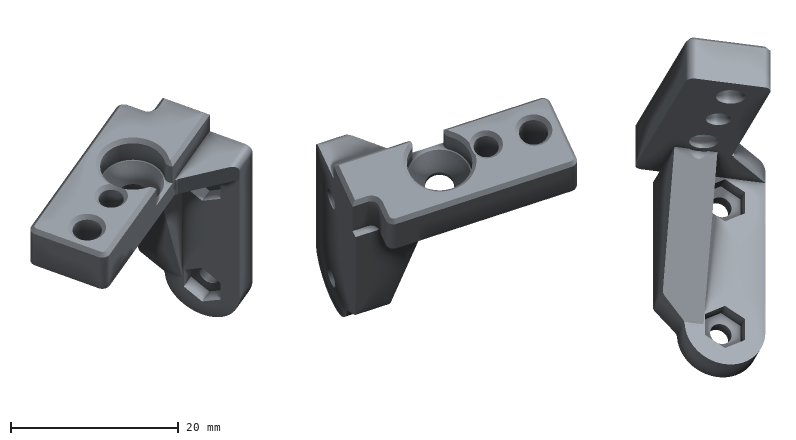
import cadquery as cq
import math

TOTAL_X = 16.2
TOTAL_Y = 27.4
TOTAL_Z = 30.75
OVERCUT = 0.3

BLOCK_WIDTH = 10.5
BLOCK_HEIGHT = 5.75
BLOCK_BOTTOM = TOTAL_Z - BLOCK_HEIGHT
NOTCH_X = 4.18
NOTCH_Y = 2.98
ROUND = 1.0
TOP_CHAMFER = 0.5

HOLE_X = 6.25
LARGE_HOLE_RADIUS = 1.75
SCREW_Y = -11.93
FRONT_HOLE_Y = -23.95
SMALL_HOLE_X = 6.4
SMALL_HOLE_Y = -17.95
SMALL_HOLE_RADIUS = 1.5

RECESS_RADIUS = 3.9
RECESS_FLOOR = BLOCK_BOTTOM + 2.5
SINK_RADIUS = 3.72
LIP_OFFSET_X = 3.85
CLEARANCE_RADIUS = 2.568

PLATE_THICKNESS = 3.47
PLATE_RADIUS = 4.997
PLATE_X = TOTAL_X - PLATE_RADIUS
PLATE_LEFT = PLATE_X - PLATE_RADIUS
PLATE_TOP = RECESS_FLOOR
BOLT_SPACING = 17.0
BOLT_RADIUS = 1.32
NUT_ACROSS_CORNERS = 5.65
NUT_DEPTH = 1.9

WEB_TIP_X = BLOCK_WIDTH + 0.25

RIB_LEFT = 3.23
RIB_RIGHT = 8.55
RIB_DEPTH = 9.7


def upright_cylinder(x, y, radius, bottom, top):
    return cq.Workplane("XY", origin=(x, y, bottom)).circle(radius).extrude(top - bottom)


def countersink(x, y, small_radius, large_radius, top):
    """45 degree cone that narrows downwards from the given level."""
    depth = large_radius - small_radius
    cone = cq.Solid.makeCone(small_radius, large_radius, depth, cq.Vector(x, y, top - depth))
    return cq.Workplane(cone)


def round_edge(body, middle):
    """Round the edge whose middle is nearest to the given point."""
    return body.edges(cq.NearestToPointSelector(middle)).fillet(ROUND)


def make_recess():
    """Round recess whose wall runs tangentially into the two rounded lips of its side opening."""
    center_distance = RECESS_RADIUS + ROUND
    lip_offset_y = math.sqrt(center_distance**2 - LIP_OFFSET_X**2)
    tangent_x = LIP_OFFSET_X * RECESS_RADIUS / center_distance
    tangent_y = lip_offset_y * RECESS_RADIUS / center_distance
    mouth_x = BLOCK_WIDTH - HOLE_X
    mouth_y = lip_offset_y - math.sqrt(ROUND**2 - (mouth_x - LIP_OFFSET_X) ** 2)
    lip_y = lip_offset_y - ROUND
    return (
        cq.Workplane("XY", origin=(HOLE_X, SCREW_Y, RECESS_FLOOR))
        .moveTo(tangent_x, tangent_y)
        .threePointArc((-RECESS_RADIUS, 0), (tangent_x, -tangent_y))
        .threePointArc((LIP_OFFSET_X, -lip_y), (mouth_x, -mouth_y))
        .lineTo(mouth_x, mouth_y)
        .threePointArc((LIP_OFFSET_X, lip_y), (tangent_x, tangent_y))
        .close()
        .extrude(BLOCK_HEIGHT)
    )


def make_block():
    outline = [
        (NOTCH_X, 0),
        (BLOCK_WIDTH, 0),
        (BLOCK_WIDTH, -TOTAL_Y),
        (0, -TOTAL_Y),
        (0, -NOTCH_Y),
        (NOTCH_X, -NOTCH_Y),
    ]
    block = cq.Workplane("XY", origin=(0, 0, BLOCK_BOTTOM)).polyline(outline).close().extrude(BLOCK_HEIGHT)
    block = block.edges("|Z").edges("not >Y").fillet(ROUND)
    block = block.cut(make_recess())
    return block.faces(">Z").edges().chamfer(TOP_CHAMFER)


def make_plate():
    return (
        cq.Workplane("XZ")
        .moveTo(PLATE_LEFT, PLATE_RADIUS)
        .threePointArc((PLATE_X, 0), (TOTAL_X, PLATE_RADIUS))
        .lineTo(TOTAL_X, PLATE_TOP)
        .lineTo(PLATE_LEFT, PLATE_TOP)
        .close()
        .extrude(PLATE_THICKNESS)
    )


def make_web():
    """Wedge that braces the plate against the side of the block, with a 45 degree front."""
    tip_y = -PLATE_THICKNESS - (TOTAL_X - WEB_TIP_X)
    outline = [
        (BLOCK_WIDTH, -PLATE_THICKNESS),
        (TOTAL_X, -PLATE_THICKNESS),
        (WEB_TIP_X, tip_y),
        (WEB_TIP_X, tip_y - (WEB_TIP_X - BLOCK_WIDTH)),
        (BLOCK_WIDTH, tip_y - (WEB_TIP_X - BLOCK_WIDTH)),
    ]
    web = cq.Workplane("XY", origin=(0, 0, BLOCK_BOTTOM)).polyline(outline).close()
    return web.extrude(PLATE_TOP - BLOCK_BOTTOM)


def make_rib():
    """Rib with a sloped front and a 45 degree lower left corner."""
    corner_z = PLATE_RADIUS + (PLATE_LEFT - RIB_LEFT)
    face = [
        (RIB_LEFT, BLOCK_BOTTOM),
        (RIB_LEFT, corner_z),
        (PLATE_LEFT, PLATE_RADIUS),
        (RIB_RIGHT, PLATE_RADIUS),
        (RIB_RIGHT, BLOCK_BOTTOM),
    ]
    rib = cq.Workplane("XZ").polyline(face).close().extrude(RIB_DEPTH)
    rib = round_edge(rib, (RIB_LEFT, -RIB_DEPTH / 2, corner_z))
    side = [
        (0, BLOCK_BOTTOM),
        (-RIB_DEPTH, BLOCK_BOTTOM),
        (-PLATE_THICKNESS, PLATE_RADIUS),
        (0, PLATE_RADIUS),
    ]
    envelope = cq.Workplane("YZ").polyline(side).close().extrude(TOTAL_X)
    return rib.intersect(envelope)


def cut_block_holes(body):
    for x, y, radius in [
        (HOLE_X, SCREW_Y, LARGE_HOLE_RADIUS),
        (HOLE_X, FRONT_HOLE_Y, LARGE_HOLE_RADIUS),
        (SMALL_HOLE_X, SMALL_HOLE_Y, SMALL_HOLE_RADIUS),
    ]:
        body = body.cut(upright_cylinder(x, y, radius, BLOCK_BOTTOM - OVERCUT, TOTAL_Z + OVERCUT))
    for x, y, radius in [
        (HOLE_X, FRONT_HOLE_Y, LARGE_HOLE_RADIUS),
        (SMALL_HOLE_X, SMALL_HOLE_Y, SMALL_HOLE_RADIUS),
    ]:
        body = body.cut(countersink(x, y, radius, radius + TOP_CHAMFER, TOTAL_Z))
    body = body.cut(countersink(HOLE_X, SCREW_Y, LARGE_HOLE_RADIUS, SINK_RADIUS, RECESS_FLOOR))
    return body.cut(upright_cylinder(HOLE_X, SCREW_Y, CLEARANCE_RADIUS, PLATE_RADIUS, BLOCK_BOTTOM))


def cut_plate_holes(body):
    """Two bolt holes, each with a hexagonal nut pocket in the front of the plate."""
    for z in (PLATE_RADIUS, PLATE_RADIUS + BOLT_SPACING):
        bolt = cq.Workplane("XZ", origin=(PLATE_X, 0, z)).circle(BOLT_RADIUS).extrude(PLATE_THICKNESS)
        nut = (
            cq.Workplane("XZ", origin=(PLATE_X, NUT_DEPTH - PLATE_THICKNESS, z))
            .transformed(rotate=(0, 0, 90))
            .polygon(6, NUT_ACROSS_CORNERS)
            .extrude(NUT_DEPTH)
        )
        body = body.cut(bolt).cut(nut)
    return body


upright = make_plate().union(make_web())
upright = round_edge(upright, (TOTAL_X, -PLATE_THICKNESS / 2, PLATE_TOP))
upright = upright.union(make_rib())
upright = round_edge(upright, (PLATE_LEFT, -PLATE_THICKNESS / 2, PLATE_RADIUS))
body = cut_block_holes(make_block().union(upright))
result = cut_plate_holes(body)